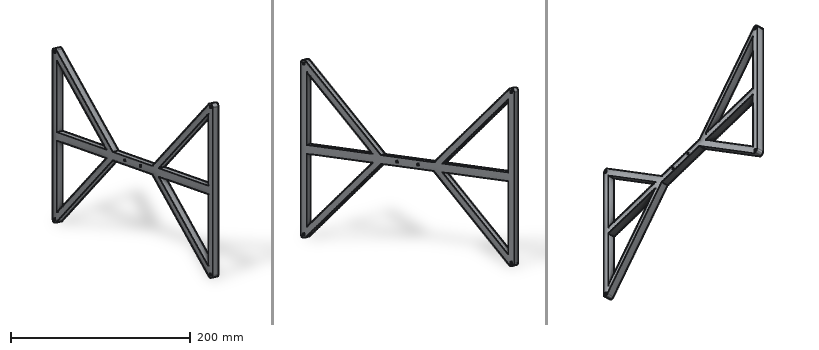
import cadquery as cq
import math

length = 286.0
height = 203.0
thickness = 8.5

bar_width = 8.0
center_bar_height = 10.0
brace_root_x = 35.8

corner_hole_diameter = 3.0
center_hole_diameter = 2.5
center_hole_spacing = 28.0

corner_x = (length - bar_width) / 2
corner_z = (height - bar_width) / 2
corners = [(x, z) for x in (-corner_x, corner_x) for z in (-corner_z, corner_z)]
center_holes = [(-center_hole_spacing / 2, 0), (center_hole_spacing / 2, 0)]


def sketch_plane():
    """XZ plane at the rear face, so positive extrusion runs toward -Y."""
    return cq.Workplane("XZ", origin=(0, thickness / 2, 0))


def bar(start, end, width):
    """Square-ended bar centered on the line from start to end."""
    run = end[0] - start[0]
    rise = end[1] - start[1]
    middle = ((start[0] + end[0]) / 2, (start[1] + end[1]) / 2)
    return (
        sketch_plane()
        .center(*middle)
        .transformed(rotate=(0, 0, math.degrees(math.atan2(rise, run))))
        .rect(math.hypot(run, rise), width)
        .extrude(thickness)
    )


def cylinders(centers, diameter):
    """Cylinders through the full thickness."""
    return sketch_plane().pushPoints(centers).circle(diameter / 2).extrude(thickness)


frame = bar((-corner_x, 0), (corner_x, 0), center_bar_height)
for x in (-corner_x, corner_x):
    frame = frame.union(bar((x, -corner_z), (x, corner_z), bar_width))
for x, z in corners:
    brace_root = (math.copysign(brace_root_x, x), 0)
    frame = frame.union(bar(brace_root, (x, z), bar_width))
frame = frame.union(cylinders(corners, bar_width))

frame = frame.cut(cylinders(corners, corner_hole_diameter))
frame = frame.cut(cylinders(center_holes, center_hole_diameter))

result = frame.clean()